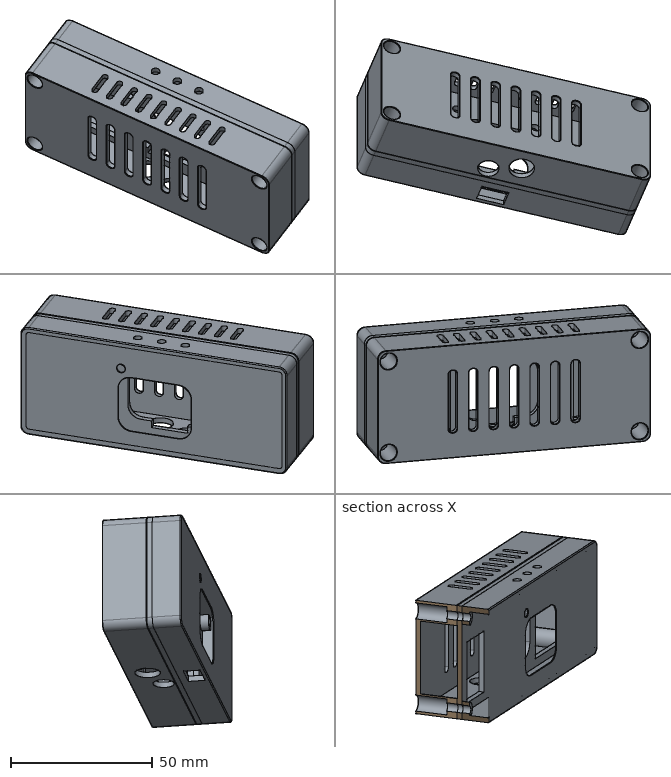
import cadquery as cq

LENGTH = 100.0
HEIGHT = 42.0
DEPTH = 28.4
CORNER_RADIUS = 3.0
WALL = 2.0
FRONT_FACE = -DEPTH / 2
BACK_FACE = DEPTH / 2
BOTTOM_FACE = -HEIGHT / 2
TOP_FACE = HEIGHT / 2

FRONT_DEPTH = 16.0
PLATE_THICKNESS = 2.0
BACK_DEPTH = DEPTH - FRONT_DEPTH - PLATE_THICKNESS
PLATE_FRONT = FRONT_FACE + FRONT_DEPTH
PLATE_BACK = PLATE_FRONT + PLATE_THICKNESS
EDGE_BREAK = 0.2
BACK_WALL = 0.4
BACK_CHAMFER = 0.4

SCREW_INSET = 4.0
SCREW_X = LENGTH / 2 - SCREW_INSET
SCREW_Z = HEIGHT / 2 - SCREW_INSET
SCREW_POINTS = [(x, z) for x in (-SCREW_X, SCREW_X) for z in (-SCREW_Z, SCREW_Z)]
POST_DIAMETER = 7.5
HEAD_DIAMETER = 6.0
HEAD_DEPTH = 12.0
CLEARANCE_DIAMETER = 3.4
PILOT_DIAMETER = 3.2
BACK_POST_DIAMETER = 6.0
BACK_POST_LENGTH = 3.0

FRONT_VENT_COUNT = 7
FRONT_VENT_PITCH = 7.5
FRONT_VENT_WIDTH = 3.2
FRONT_VENT_LENGTH = 23.2
TOP_VENT_COUNT = 9
TOP_VENT_PITCH = 6.0
TOP_VENT_WIDTH = 2.2
TOP_VENT_LENGTH = 9.2
TOP_VENT_SETBACK = 8.0
TOP_VENT_Y = FRONT_FACE + TOP_VENT_SETBACK

LARGE_CABLE_DIAMETER = 9.0
LARGE_CABLE_X = 4.7
LARGE_CABLE_Y = TOP_VENT_Y
SMALL_CABLE_DIAMETER = 7.5
SMALL_CABLE_X = -6.5
SMALL_CABLE_Y = -2.5

WINDOW_LEFT = -14.1
WINDOW_RIGHT = 13.4
WINDOW_BOTTOM = -13.4
WINDOW_TOP = 7.7
WINDOW_RADIUS = 5.0

NOTCH_LEFT = -9.0
NOTCH_RIGHT = 4.5
NOTCH_BOTTOM = -16.0
NOTCH_TOP = 0.0

WIRING_BOTTOM = NOTCH_BOTTOM
WIRING_TOP = 6.5
WIRING_OUTER_X = 41.0
LEFT_WIRING_INNER_X = -19.0
RIGHT_WIRING_INNER_X = 26.0

DISPLAY_HOLE_DIAMETER = 3.2
DISPLAY_HOLE_Z = 10.7
LEFT_DISPLAY_HOLE = (-16.7, DISPLAY_HOLE_Z)
RIGHT_DISPLAY_HOLE = (12.3, DISPLAY_HOLE_Z)

BUTTON_COUNT = 3
BUTTON_DIAMETER = 3.0
BUTTON_PITCH = 8.9
BUTTON_X = -1.0
BUTTON_SETBACK = 5.6
BUTTON_Y = BACK_FACE - BUTTON_SETBACK

CONNECTOR_WIDTH = 10.0
CONNECTOR_DEPTH = 6.0
CONNECTOR_X = BUTTON_X
CONNECTOR_Y = 9.5


def plane_at_y(y):
    """Sketch plane at the given Y with local axes X and Z; its normal points toward -Y."""
    return cq.Workplane("XZ", origin=(0, y, 0))


def rounded_block(y, depth, inset=0.0):
    """Rounded rectangular block from y to y + depth, smaller than the envelope by inset all round."""
    block = plane_at_y(y).rect(LENGTH - 2 * inset, HEIGHT - 2 * inset).extrude(-depth)
    return block.edges("|Y").fillet(CORNER_RADIUS - inset)


def cylinders(points, diameter, y, depth):
    """Cylinders along +Y at the given (x, z) points."""
    return plane_at_y(y).pushPoints(points).circle(diameter / 2).extrude(-depth)


def box_along_y(left, right, bottom, top, y, depth):
    """Box given by its X and Z limits, reaching from y to y + depth."""
    centre = ((left + right) / 2, (bottom + top) / 2)
    return plane_at_y(y).center(*centre).rect(right - left, top - bottom).extrude(-depth)


def display_window(y, depth):
    window = box_along_y(WINDOW_LEFT, WINDOW_RIGHT, WINDOW_BOTTOM, WINDOW_TOP, y, depth)
    return window.edges("|Y").fillet(WINDOW_RADIUS)


def bottom_wall_hole(x, y, diameter):
    """Cutter for a round hole through the bottom wall."""
    return cq.Workplane("XY", origin=(x, y, BOTTOM_FACE)).circle(diameter / 2).extrude(WALL)


def front_vents():
    vents = plane_at_y(FRONT_FACE).rarray(FRONT_VENT_PITCH, 1, FRONT_VENT_COUNT, 1)
    return vents.slot2D(FRONT_VENT_LENGTH, FRONT_VENT_WIDTH, 90).extrude(-WALL)


def top_vents():
    vents = cq.Workplane("XY", origin=(0, TOP_VENT_Y, TOP_FACE - WALL))
    vents = vents.rarray(TOP_VENT_PITCH, 1, TOP_VENT_COUNT, 1)
    return vents.slot2D(TOP_VENT_LENGTH, TOP_VENT_WIDTH, 90).extrude(WALL)


def button_holes():
    holes = cq.Workplane("XY", origin=(BUTTON_X, BUTTON_Y, TOP_FACE - WALL))
    return holes.rarray(BUTTON_PITCH, 1, BUTTON_COUNT, 1).circle(BUTTON_DIAMETER / 2).extrude(WALL)


def make_front_shell():
    """Box open toward +Y, with screw posts, vents and cable holes."""
    outer = rounded_block(FRONT_FACE, FRONT_DEPTH)
    cavity = rounded_block(FRONT_FACE + WALL, FRONT_DEPTH - WALL, WALL)
    posts = cylinders(SCREW_POINTS, POST_DIAMETER, FRONT_FACE, FRONT_DEPTH)
    shell = outer.faces("<Y or >Y").edges().chamfer(EDGE_BREAK)
    shell = shell.cut(cavity.cut(posts))

    shell = shell.cut(cylinders(SCREW_POINTS, HEAD_DIAMETER, FRONT_FACE, HEAD_DEPTH))
    shell = shell.cut(cylinders(SCREW_POINTS, CLEARANCE_DIAMETER, FRONT_FACE, FRONT_DEPTH))
    shell = shell.cut(front_vents())
    inner_wires = shell.faces("<Y").val().innerWires()
    mouths = [edge for wire in inner_wires for edge in wire.Edges()]
    shell = shell.newObject(mouths).chamfer(EDGE_BREAK)

    shell = shell.cut(top_vents())
    shell = shell.cut(bottom_wall_hole(LARGE_CABLE_X, LARGE_CABLE_Y, LARGE_CABLE_DIAMETER))
    return shell.cut(bottom_wall_hole(SMALL_CABLE_X, SMALL_CABLE_Y, SMALL_CABLE_DIAMETER))


def make_middle_plate():
    """Flat plate that carries the display between the two shells."""
    plate = rounded_block(PLATE_FRONT, PLATE_THICKNESS)
    plate = plate.cut(cylinders(SCREW_POINTS, CLEARANCE_DIAMETER, PLATE_FRONT, PLATE_THICKNESS))
    plate = plate.cut(display_window(PLATE_FRONT, PLATE_THICKNESS))
    notch = box_along_y(NOTCH_LEFT, NOTCH_RIGHT, NOTCH_BOTTOM, NOTCH_TOP, PLATE_FRONT, PLATE_THICKNESS)
    plate = plate.cut(notch)
    display_holes = [LEFT_DISPLAY_HOLE, RIGHT_DISPLAY_HOLE]
    plate = plate.cut(cylinders(display_holes, DISPLAY_HOLE_DIAMETER, PLATE_FRONT, PLATE_THICKNESS))
    wiring_sides = [(-WIRING_OUTER_X, LEFT_WIRING_INNER_X), (RIGHT_WIRING_INNER_X, WIRING_OUTER_X)]
    for left, right in wiring_sides:
        opening = box_along_y(left, right, WIRING_BOTTOM, WIRING_TOP, PLATE_FRONT, PLATE_THICKNESS)
        plate = plate.cut(opening)
    return plate


def make_back_cover():
    """Box open toward -Y, with a thin back wall, pilot posts, buttons and a connector opening."""
    outer = rounded_block(PLATE_BACK, BACK_DEPTH)
    cavity_depth = BACK_DEPTH - BACK_WALL
    cavity = rounded_block(PLATE_BACK, cavity_depth, WALL)
    posts = cylinders(SCREW_POINTS, BACK_POST_DIAMETER, PLATE_BACK, BACK_POST_LENGTH)
    cover = outer.faces(">Y").edges().chamfer(BACK_CHAMFER)
    cover = cover.cut(cavity.cut(posts))
    cover = cover.cut(cylinders(SCREW_POINTS, PILOT_DIAMETER, PLATE_BACK, BACK_POST_LENGTH))

    back_wall_front = BACK_FACE - BACK_WALL
    cover = cover.cut(display_window(back_wall_front, BACK_WALL))
    cover = cover.cut(cylinders([RIGHT_DISPLAY_HOLE], DISPLAY_HOLE_DIAMETER, back_wall_front, BACK_WALL))
    cover = cover.cut(button_holes())
    connector = cq.Workplane("XY", origin=(CONNECTOR_X, CONNECTOR_Y, BOTTOM_FACE))
    return cover.cut(connector.rect(CONNECTOR_WIDTH, CONNECTOR_DEPTH).extrude(WALL))


front_shell = make_front_shell()
middle_plate = make_middle_plate()
back_cover = make_back_cover()

bodies = [front_shell, middle_plate, back_cover]
result = cq.Compound.makeCompound([body.solids().val() for body in bodies])